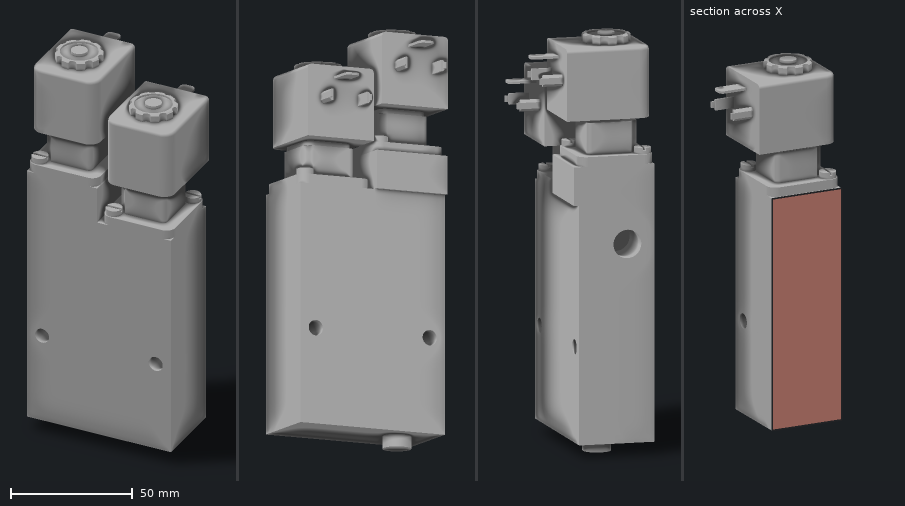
import cadquery as cq
import math

BODY_WIDTH = 66.1
BODY_DEPTH = 32.1
BODY_HEIGHT = 100.0

MOUNT_HOLE_DIAMETER = 6.5
MOUNT_HOLE_INSET = 7.0
MOUNT_HOLE_Z = 40.0

PORT_DIAMETER = 11.9
PORT_Y = 11.5
PORT_Z = 83.0
PORT_DEPTH = 17.5

STUD_DIAMETER = 11.9
STUD_LENGTH = 5.2
STUD_Y = 20.0

SPACER_WIDTH = 32.3
SPACER_DEPTH = 34.4
SPACER_HEIGHT = 16.0

FLANGE_SIZE = BODY_DEPTH
FLANGE_HEIGHT = 4.0
FLANGE_CORNER = 4.0

SCREW_OFFSET = FLANGE_SIZE / 2 - FLANGE_CORNER
SCREW_HEAD_DIAMETER = 7.0
SCREW_HEAD_HEIGHT = 2.6
SCREW_SLOT_WIDTH = 1.2
SCREW_SLOT_DEPTH = 1.2

STEM_SIZE = 21.8
STEM_HEIGHT = 13.1
STEM_CORNER = 2.0
STEM_RELIEF_DIAMETER = 9.0

NECK_SIZE = 21.0
NECK_HEIGHT = 2.0
NECK_CORNER = 3.3
NECK_NOTCH = 6.5

COIL_WIDTH = 30.2
COIL_HEIGHT = 30.0
COIL_FRONT = 0.9
COIL_BACK = 37.0
COIL_CORNER = 5.0
COIL_TOP_FILLET = 1.7

KNOB_DIAMETER = 20.0
KNOB_TOP_DIAMETER = 19.0
KNOB_HEIGHT = 3.7
KNOB_LOBES = 9
SCALLOP_DIAMETER = 4.0
SCALLOP_DEPTH = 1.2
KNOB_RECESS_DIAMETER = 16.0
KNOB_RECESS_DEPTH = 0.9
BUTTON_DIAMETER = 7.0
BUTTON_RISE = 0.5

BLADE_WIDTH = 6.5
BLADE_THICKNESS = 1.0
BLADE_TIP_Y = 48.9
BLADE_CORNER = 2.1
BLADE_Z = 25.0

CONTACT_INNER_X = 7.7
CONTACT_OUTER_X = 9.5
CONTACT_STEP_X = (CONTACT_INNER_X + CONTACT_OUTER_X) / 2
CONTACT_HEIGHT = 4.7
CONTACT_TIP_HEIGHT = 2.6
CONTACT_SHOULDER_Y = 45.5
CONTACT_TIP_Y = 47.0
CONTACT_Z = 16.2

VALVE_Y = FLANGE_SIZE / 2
LEFT_VALVE_X = FLANGE_SIZE / 2
RIGHT_VALVE_X = BODY_WIDTH - FLANGE_SIZE / 2

STEM_Z = FLANGE_HEIGHT
NECK_Z = STEM_Z + STEM_HEIGHT
COIL_Z = NECK_Z + NECK_HEIGHT
KNOB_Z = COIL_Z + COIL_HEIGHT


def block(width, depth, height, z=0):
    """Box centred on the Z axis with its underside at z."""
    return cq.Workplane("XY").box(width, depth, height, centered=(True, True, False)).translate((0, 0, z))


def disc(diameter, height, x=0, y=0, z=0):
    """Upright cylinder with its underside at z."""
    return cq.Workplane("XY").circle(diameter / 2).extrude(height).translate((x, y, z))


def make_body():
    body = cq.Workplane("XY").box(BODY_WIDTH, BODY_DEPTH, BODY_HEIGHT, centered=False)
    for x in (MOUNT_HOLE_INSET, BODY_WIDTH - MOUNT_HOLE_INSET):
        hole = cq.Workplane("XZ").center(x, MOUNT_HOLE_Z).circle(MOUNT_HOLE_DIAMETER / 2)
        body = body.cut(hole.extrude(-BODY_DEPTH))
    port = cq.Workplane("YZ").center(PORT_Y, PORT_Z).circle(PORT_DIAMETER / 2)
    body = body.cut(port.extrude(PORT_DEPTH))
    return body.union(disc(STUD_DIAMETER, STUD_LENGTH, LEFT_VALVE_X, STUD_Y, -STUD_LENGTH))


def make_spacer():
    spacer = cq.Workplane("XY").box(SPACER_WIDTH, SPACER_DEPTH, SPACER_HEIGHT, centered=False)
    return spacer.translate((0, 0, BODY_HEIGHT))


def make_screw_head():
    head = disc(SCREW_HEAD_DIAMETER, SCREW_HEAD_HEIGHT)
    slot_floor = SCREW_HEAD_HEIGHT - SCREW_SLOT_DEPTH
    return head.cut(block(SCREW_HEAD_DIAMETER, SCREW_SLOT_WIDTH, SCREW_SLOT_DEPTH, slot_floor))


def make_base():
    """Flange and stem, with two screws in opposite corners cleared by round reliefs."""
    flange = block(FLANGE_SIZE, FLANGE_SIZE, FLANGE_HEIGHT).edges("|Z").fillet(FLANGE_CORNER)
    stem = block(STEM_SIZE, STEM_SIZE, STEM_HEIGHT, STEM_Z).edges("|Z").fillet(STEM_CORNER)
    heads = []
    for side in (-1, 1):
        x = side * SCREW_OFFSET
        y = side * SCREW_OFFSET
        stem = stem.cut(disc(STEM_RELIEF_DIAMETER, STEM_HEIGHT, x, y, STEM_Z))
        heads.append(make_screw_head().translate((x, y, FLANGE_HEIGHT)))
    base = flange.union(stem)
    for head in heads:
        base = base.union(head)
    return base


def make_neck():
    """Thin rounded square with its front-left corner notched out."""
    neck = block(NECK_SIZE, NECK_SIZE, NECK_HEIGHT, NECK_Z).edges("|Z").fillet(NECK_CORNER)
    notch = block(2 * NECK_NOTCH, 2 * NECK_NOTCH, NECK_HEIGHT, NECK_Z).edges("|Z").fillet(NECK_CORNER)
    return neck.cut(notch.translate((-NECK_SIZE / 2, -NECK_SIZE / 2, 0)))


def make_coil():
    """Coil housing with rounded front corners; the top is rounded on all sides but the back."""
    depth = COIL_BACK - COIL_FRONT
    middle_y = (COIL_FRONT + COIL_BACK) / 2 - VALVE_Y
    coil = block(COIL_WIDTH, depth, COIL_HEIGHT, COIL_Z).edges("|Z and <Y").fillet(COIL_CORNER)
    coil = coil.faces(">Z").edges("not >Y").fillet(COIL_TOP_FILLET)
    return coil.translate((0, middle_y, 0))


def make_knob():
    """Scalloped knob with a recessed top and a button in the middle."""
    bevel = (KNOB_DIAMETER - KNOB_TOP_DIAMETER) / 2
    knob = disc(KNOB_DIAMETER, KNOB_HEIGHT).faces(">Z").chamfer(bevel)
    scallop_distance = (KNOB_DIAMETER + SCALLOP_DIAMETER) / 2 - SCALLOP_DEPTH
    for index in range(KNOB_LOBES):
        angle = 2 * math.pi * index / KNOB_LOBES
        x = scallop_distance * math.cos(angle)
        y = scallop_distance * math.sin(angle)
        knob = knob.cut(disc(SCALLOP_DIAMETER, KNOB_HEIGHT, x, y))
    recess_floor = KNOB_HEIGHT - KNOB_RECESS_DEPTH
    knob = knob.cut(disc(KNOB_RECESS_DIAMETER, KNOB_RECESS_DEPTH, z=recess_floor))
    knob = knob.union(disc(BUTTON_DIAMETER, KNOB_HEIGHT + BUTTON_RISE))
    return knob.translate((0, 0, KNOB_Z))


def make_blade():
    """Flat contact with a rounded tip."""
    length = BLADE_TIP_Y - COIL_BACK
    blade = cq.Workplane("XY").box(BLADE_WIDTH, length, BLADE_THICKNESS, centered=(True, False, True))
    blade = blade.edges("|Z and >Y").fillet(BLADE_CORNER)
    return blade.translate((0, COIL_BACK - VALVE_Y, COIL_Z + BLADE_Z))


def make_contact():
    """Right-hand contact: a bar tapering outwards, with a longer tip in its outer half."""
    half = CONTACT_HEIGHT / 2
    half_tip = CONTACT_TIP_HEIGHT / 2
    profile = [
        (CONTACT_INNER_X, -half),
        (CONTACT_STEP_X, -half),
        (CONTACT_OUTER_X, -half_tip),
        (CONTACT_OUTER_X, half_tip),
        (CONTACT_STEP_X, half),
        (CONTACT_INNER_X, half),
    ]
    bar = cq.Workplane("XZ").polyline(profile).close().extrude(COIL_BACK - CONTACT_SHOULDER_Y)
    tip_width = CONTACT_OUTER_X - CONTACT_STEP_X
    tip = cq.Workplane("XY").box(
        tip_width, CONTACT_TIP_Y - COIL_BACK, CONTACT_TIP_HEIGHT, centered=(False, False, True)
    )
    contact = bar.union(tip.translate((CONTACT_STEP_X, 0, 0)))
    return contact.translate((0, COIL_BACK - VALVE_Y, COIL_Z + CONTACT_Z))


def make_valve():
    """Complete pilot valve standing on z = 0 about the Z axis."""
    contact = make_contact()
    valve = make_base().union(make_neck()).union(make_coil()).union(make_knob())
    return valve.union(make_blade()).union(contact).union(contact.mirror("YZ"))


valve = make_valve()
left_valve = valve.translate((LEFT_VALVE_X, VALVE_Y, BODY_HEIGHT + SPACER_HEIGHT))
right_valve = valve.translate((RIGHT_VALVE_X, VALVE_Y, BODY_HEIGHT))

result = make_body().union(make_spacer()).union(left_valve).union(right_valve)